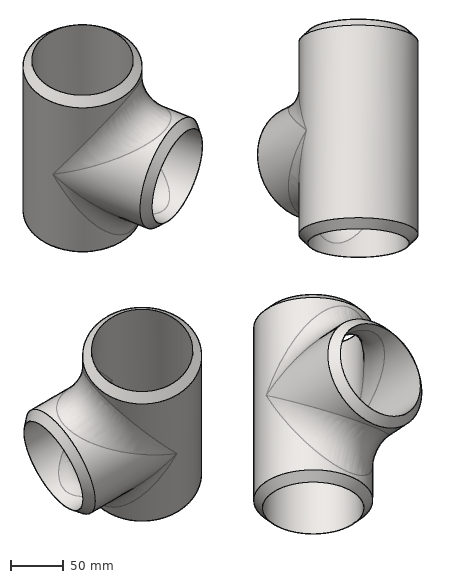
import cadquery as cq
import math

outer_radius = 114.3 / 2
wall = 8.56
bore_radius = outer_radius - wall
center_to_end = 104.8
outer_rounding = 35.0
bore_rounding = outer_rounding + wall
section_count = 9


def half_ellipse(reach, tube_radius, angle):
    """Half ellipse between the poles at Y = +/- tube_radius, in the plane tilted by angle from XY."""
    outward = cq.Vector(math.cos(angle), 0, math.sin(angle))
    plane_normal = outward.cross(cq.Vector(0, 1, 0))
    return cq.Edge.makeEllipse(
        reach, tube_radius, cq.Vector(0, 0, 0), plane_normal, outward, angle1=-90, angle2=90
    )


def corner_filler(tube_radius, rounding):
    """Solid that rounds the upper corner between run and branch.

    At every Y the rounding is an arc scaled with the local half width of the tubes,
    so it is largest at Y = 0 and shrinks to a point where the tubes touch, at Y = +/- tube_radius.
    """
    arc_center = tube_radius + rounding
    sections = []
    for index in range(section_count):
        turn = math.pi / 2 * index / (section_count - 1)
        x = arc_center - rounding * math.sin(turn)
        z = arc_center - rounding * math.cos(turn)
        sections.append(half_ellipse(math.hypot(x, z), tube_radius, math.atan2(z, x)))

    pole_line = cq.Edge.makeLine(cq.Vector(0, tube_radius, 0), cq.Vector(0, -tube_radius, 0))
    branch_side = cq.Face.makeFromWires(cq.Wire.assembleEdges([sections[0], pole_line]))
    run_side = cq.Face.makeFromWires(cq.Wire.assembleEdges([sections[-1], pole_line]))
    rounding_face = cq.occ_impl.shapes.loft(*sections)
    return cq.Workplane(cq.occ_impl.shapes.solid([rounding_face, branch_side, run_side]))


def tee_body(tube_radius, rounding, end_bevel=0):
    """Solid tee of one radius: run, branch and the rounded corners beside the branch."""
    run = cq.Workplane("XY").cylinder(2 * center_to_end, tube_radius)
    branch = cq.Workplane("YZ").cylinder(center_to_end, tube_radius, centered=(True, True, False))
    if end_bevel > 0:
        run = run.faces("|Z").edges().chamfer(end_bevel)
        branch = branch.faces(">X").edges().chamfer(end_bevel)

    upper_filler = corner_filler(tube_radius, rounding)
    lower_filler = upper_filler.mirror("XY")
    return run.union(branch).union(upper_filler).union(lower_filler)


outside = tee_body(outer_radius, outer_rounding, end_bevel=wall)
cavity = tee_body(bore_radius, bore_rounding)
result = outside.cut(cavity)